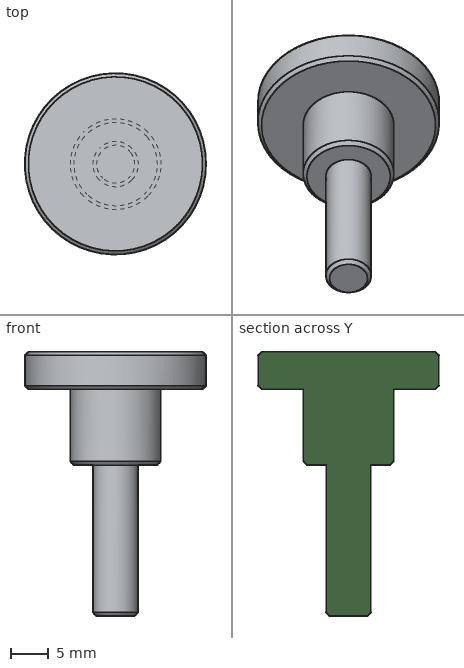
import cadquery as cq

total_height = 35.0
head_diameter = 24.0
head_height = 5.0
collar_diameter = head_diameter / 2
collar_height = 2 * head_height
stud_diameter = head_diameter / 4
stud_height = total_height - head_height - collar_height
edge_chamfer = 0.5


def cylinder(diameter, height, base_z):
    """Upright cylinder on the Z axis, starting at base_z."""
    return cq.Workplane("XY").workplane(offset=base_z).circle(diameter / 2).extrude(height)


stud = cylinder(stud_diameter, stud_height, 0).faces("<Z").chamfer(edge_chamfer)

collar = cylinder(collar_diameter, collar_height, stud_height).faces("<Z").chamfer(edge_chamfer)

head = cylinder(head_diameter, head_height, stud_height + collar_height)
head = head.faces("<Z or >Z").chamfer(edge_chamfer)

result = stud.union(collar).union(head)